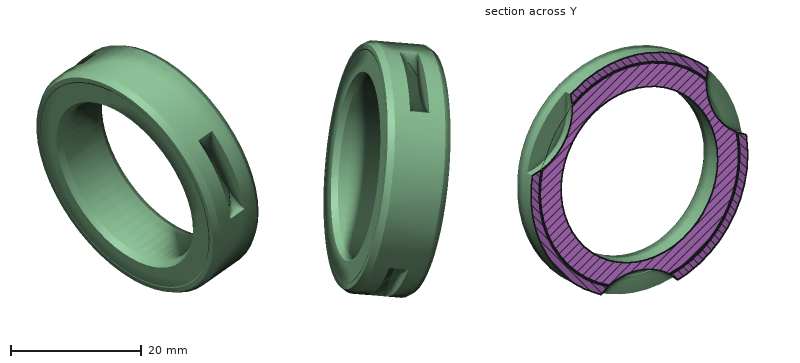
import cadquery as cq
import math

outer_radius = 19.5
bore_radius = 14.0
width = 10.0
half_width = width / 2

chamfer_axial = 0.98
chamfer_radial = 0.6
chamfer_edge = half_width - chamfer_axial

face_radius = 17.98
crest_radius = 17.82
crest_half_width = 0.25
trough_offset = (crest_half_width + half_width) / 2
trough_radius = crest_radius - (trough_offset - crest_half_width)
gap = 0.15

slot_count = 3
slot_width = 3.05
slot_cutter_radius = 10.0
slot_cutter_distance = 25.45
first_slot_angle = 30.0


def revolve_about_y(profile):
    """Turn a closed (radius, y) profile once around the Y axis."""
    return profile.close().revolve(360, (0, 0, 0), (0, 1, 0))


def zigzag(clearance):
    """Interface points from the front face to the back face, moved outward by the clearance."""
    face = face_radius + clearance
    crest = crest_radius + clearance
    trough = trough_radius + clearance
    return [
        (face, -half_width),
        (trough, -trough_offset),
        (crest, -crest_half_width),
        (crest, crest_half_width),
        (trough, trough_offset),
        (face, half_width),
    ]


def cut_slots(ring):
    """Cut evenly spaced slots with round cutters lying along Y."""
    for index in range(slot_count):
        angle = math.radians(first_slot_angle + index * 360 / slot_count)
        cutter = (
            cq.Workplane("XZ")
            .center(slot_cutter_distance * math.cos(angle), slot_cutter_distance * math.sin(angle))
            .circle(slot_cutter_radius)
            .extrude(slot_width / 2, both=True)
        )
        ring = ring.cut(cutter)
    return ring


def make_inner_ring():
    """Ring around the bore, with the crest on its outer side."""
    profile = (
        cq.Workplane("XY")
        .polyline(zigzag(0))
        .lineTo(bore_radius + chamfer_radial, half_width)
        .lineTo(bore_radius, chamfer_edge)
        .lineTo(bore_radius, -chamfer_edge)
        .lineTo(bore_radius + chamfer_radial, -half_width)
    )
    return cut_slots(revolve_about_y(profile))


def make_outer_ring():
    """Ring that forms the rim and follows the zigzag on its inner side."""
    profile = (
        cq.Workplane("XY")
        .polyline(zigzag(gap))
        .lineTo(outer_radius - chamfer_radial, half_width)
        .lineTo(outer_radius, chamfer_edge)
        .lineTo(outer_radius, -chamfer_edge)
        .lineTo(outer_radius - chamfer_radial, -half_width)
    )
    return cut_slots(revolve_about_y(profile))


inner_ring = make_inner_ring()
outer_ring = make_outer_ring()

result = cq.Compound.makeCompound([inner_ring.val(), outer_ring.val()])